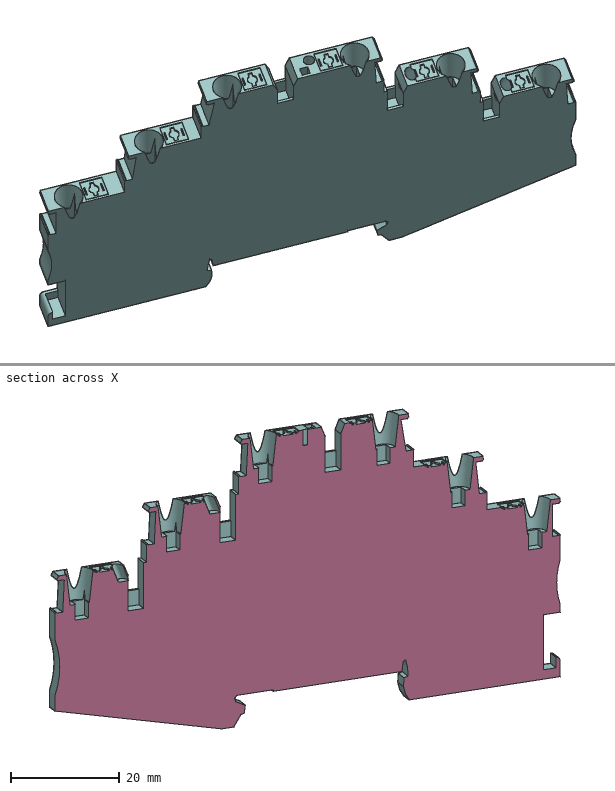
import cadquery as cq

THICKNESS = 5.1
LENGTH = 102.2
HEIGHT = 56.4
END = LENGTH / 2
OUTER_FACE = -THICKNESS / 2

TIER_RISE = 10.6
DECKS = [HEIGHT - 2 * TIER_RISE, HEIGHT - TIER_RISE, HEIGHT]
BACK_LIPS = [50.8, 32.3, 13.7]
BACK_SHELVES = [END, 32.6, 14.0]
FRONT_LIPS = [END, 35.6, 20.4]
FRONT_SHELVES = [END, 36.3, 21.5]

LIP_HEIGHT = 1.0
BACK_LIP_SLOPE = 0.4
FRONT_LIP_SLOPE = 0.1
LIP_HOOK = 0.3
NECK_INSET = 1.5
SHELF_DROP = 7.3
SHELF_RIM = 0.2

SLOT_WIDTH = 3.1
SLOT_DEPTH = 5.9
SLOT_STEP = 0.6
LEAD_IN_WIDTH = 0.8
LEAD_IN_DEPTH = 1.9
TOP_SLOT_Y = -5.1
SLOT_POCKET_WIDTH = 4.1
SLOT_POCKET_DEPTH = 3.1

BACK_HOLLOW = (11.9, 22.5, 0.9)
FRONT_HOLLOW = (14.2, 23.1, 0.7)

RAIL_SEAT = 5.8
RAIL_RELIEF = 6.1
BACK_CORNER = 8.6
HOOK_ROOT = 13.5
MARKER_NOTCH_DEPTH = 3.4
MARKER_NOTCH_BOTTOM = 4.0
MARKER_NOTCH_TOP = 12.7
MARKER_LIP = 0.9
MARKER_PIT_RIM = 0.6
MARKER_PIT_DEPTH = 2.0

SETBACK = 0.5
HOOK_TIP_STEP = (12.3, HOOK_ROOT, 2.0, 4.4)
SLIT_STEP = (-19.6, -18.7, 7.6, 9.2)

FUNNEL_INSET = 4.7
FUNNEL_X = 0.36
FUNNEL_TOP_RADIUS = 2.7
FUNNEL_BOTTOM_RADIUS = 1.9
FUNNEL_DEPTH = 6.1
WIRE_POCKET_X = 0.15
WIRE_POCKET_SHIFT = 0.4
WIRE_POCKET_SIZE = (3.1, 2.6)
WIRE_POCKET_DEPTH = 9.2

BUTTON_INSET = 9.7
BUTTON_SIZE = (4.1, 4.3)
BUTTON_DEPTH = 0.2
BLADE_SLOT_SIZE = (3.1, 0.7)
BLADE_CENTRE_RADIUS = 0.9
BLADE_DEPTH = 0.5
GROOVE_SIZE = (1.6, 0.2)
GROOVE_OFFSET = 1.6

OVAL_INSET = 12.4
OVAL_RADII = (1.5, 1.0)
OVAL_LEAN = 1.2
TEST_HOLE_AT = (-0.9, 0.5)
TEST_HOLE_RADIUS = 1.0
TEST_SQUARE_AT = (1.2, -0.9)
TEST_SQUARE_SIZE = 1.5
TEST_DEPTH = 3.1


def tier_edge(lip, lip_slope, shelf, deck):
    """Outline from the shelf up to the deck, as (distance from middle, height)."""
    shelf_z = deck - SHELF_DROP
    lip_z = deck - LIP_HEIGHT
    return [
        (shelf, shelf_z),
        (shelf - SHELF_RIM, shelf_z + SHELF_RIM),
        (shelf - 2 * SHELF_RIM, shelf_z),
        (shelf - NECK_INSET, shelf_z),
        (lip - NECK_INSET, lip_z),
        (lip - LIP_HOOK, lip_z),
        (lip, lip_z + LIP_HOOK),
        (lip - lip_slope, deck),
    ]


def slot_side(y, outward, deck):
    """Sloped lead-in and side wall of a slot, from the deck down to the slot floor."""
    return [
        (y + outward * LEAD_IN_WIDTH, deck),
        (y, deck - LEAD_IN_DEPTH),
        (y, deck - SLOT_DEPTH),
    ]


def back_slot_wall(tier):
    """Y of the slot wall that stands below the shelf of the next tier."""
    return BACK_SHELVES[tier + 1] + SLOT_STEP


def back_steps():
    points = []
    for tier, deck in enumerate(DECKS):
        points += tier_edge(BACK_LIPS[tier], BACK_LIP_SLOPE, BACK_SHELVES[tier], deck)
        if deck < HEIGHT:
            wall = back_slot_wall(tier)
            points += slot_side(wall + SLOT_WIDTH, 1, deck)
            points += [(wall, deck - SLOT_DEPTH), (wall, deck), (BACK_SHELVES[tier + 1], deck)]
    return points


def top_slot():
    return (
        slot_side(TOP_SLOT_Y + SLOT_WIDTH / 2, 1, HEIGHT)
        + slot_side(TOP_SLOT_Y - SLOT_WIDTH / 2, -1, HEIGHT)[::-1]
    )


def front_steps():
    points = []
    for tier in (2, 1, 0):
        edge = tier_edge(FRONT_LIPS[tier], FRONT_LIP_SLOPE, FRONT_SHELVES[tier], DECKS[tier])
        points += [(-y, z) for y, z in reversed(edge)]
        if tier > 0:
            points.append((-FRONT_SHELVES[tier], DECKS[tier - 1]))
    return points


def front_foot():
    """Marker notch in the front end, the front foot and the slit beside it."""
    notch_y = MARKER_NOTCH_DEPTH - END
    return [
        (-END, MARKER_NOTCH_TOP),
        (notch_y, MARKER_NOTCH_TOP),
        (notch_y, MARKER_NOTCH_BOTTOM),
        (-END, MARKER_NOTCH_BOTTOM),
        (-END, 0),
        (-20.5, 0),
        (-19.7, 1.3),
        (-19.3, 2.9),
        (-19.4, 4.6),
        (-20.2, 4.8),
        (-20.1, 6.5),
        (-19.7, 8.1),
        (-19.3, 7.7),
        (-19.1, RAIL_SEAT),
    ]


def back_foot():
    """Rail seat and the hooked back foot."""
    return [
        (7.0, RAIL_SEAT),
        (7.0, RAIL_RELIEF),
        (14.3, RAIL_RELIEF),
        (14.7, 5.6),
        (14.5, 5.0),
        (12.6, 4.0),
        (12.8, 2.5),
        (HOOK_ROOT, 2.2),
        (14.9, 0),
        (17.4, 0),
    ]


def body():
    back_low, back_high, back_depth = BACK_HOLLOW
    front_low, front_high, front_depth = FRONT_HOLLOW
    outline = (
        cq.Workplane("YZ", origin=(OUTER_FACE, 0, 0))
        .moveTo(END, BACK_CORNER)
        .lineTo(END, back_low)
        .threePointArc((END - back_depth, (back_low + back_high) / 2), (END, back_high))
    )
    for y, z in back_steps() + top_slot() + front_steps():
        outline = outline.lineTo(y, z)
    outline = outline.lineTo(-END, front_high).threePointArc(
        (front_depth - END, (front_low + front_high) / 2), (-END, front_low)
    )
    for y, z in front_foot() + back_foot():
        outline = outline.lineTo(y, z)
    plate = outline.close().extrude(THICKNESS)
    marker_edge = cq.NearestToPointSelector((0, -END, MARKER_NOTCH_BOTTOM))
    return plate.edges(marker_edge).fillet(MARKER_LIP)


def marker_pit():
    """Pit in the floor of the marker notch, behind its rounded lip and open on the +X side."""
    length = MARKER_NOTCH_DEPTH - MARKER_LIP
    corner = (OUTER_FACE + MARKER_PIT_RIM, MARKER_LIP - END, MARKER_NOTCH_BOTTOM - MARKER_PIT_DEPTH)
    block = cq.Workplane("XY").box(THICKNESS, length, MARKER_PIT_DEPTH, centered=False)
    return block.translate(corner)


def side_recess(y_min, y_max, z_min, z_max):
    """Shallow step cut into the -X face."""
    block = cq.Workplane("XY").box(SETBACK, y_max - y_min, z_max - z_min, centered=False)
    return block.translate((OUTER_FACE, y_min, z_min))


def at_deck(x, y, z):
    return cq.Workplane("XY", origin=(x, y, z))


def wire_funnel(y, outward, deck):
    cone = cq.Workplane(
        cq.Solid.makeCone(
            FUNNEL_TOP_RADIUS,
            FUNNEL_BOTTOM_RADIUS,
            FUNNEL_DEPTH,
            pnt=cq.Vector(FUNNEL_X, y, deck),
            dir=cq.Vector(0, 0, -1),
        )
    )
    pocket_y = y - outward * WIRE_POCKET_SHIFT
    pocket = at_deck(WIRE_POCKET_X, pocket_y, deck).rect(*WIRE_POCKET_SIZE).extrude(-WIRE_POCKET_DEPTH)
    return cone.union(pocket)


def push_button(y, deck):
    panel = at_deck(0, y, deck).rect(*BUTTON_SIZE).extrude(-BUTTON_DEPTH)
    blade_slot = at_deck(0, y, deck).rect(*BLADE_SLOT_SIZE).extrude(-BLADE_DEPTH)
    centre = at_deck(0, y, deck).circle(BLADE_CENTRE_RADIUS).extrude(-BLADE_DEPTH)
    grooves = (
        at_deck(0, y, deck)
        .pushPoints([(0, GROOVE_OFFSET), (0, -GROOVE_OFFSET)])
        .rect(*GROOVE_SIZE)
        .extrude(-BLADE_DEPTH)
    )
    return panel.union(blade_slot).union(centre).union(grooves)


def leaning_oval(y, deck):
    """Oval opening that leans toward -Y as it goes down."""
    path = cq.Workplane("YZ", origin=(0, y, deck)).lineTo(-OVAL_LEAN, -TEST_DEPTH)
    return at_deck(0, y, deck).ellipse(*OVAL_RADII).sweep(path)


def slot_pocket(y, deck):
    floor = deck - SLOT_DEPTH
    return at_deck(0, y, floor).rect(SLOT_POCKET_WIDTH, SLOT_WIDTH).extrude(-SLOT_POCKET_DEPTH)


result = body()

for outward, lips in ((1, BACK_LIPS), (-1, FRONT_LIPS)):
    for lip, deck in zip(lips, DECKS):
        result = result.cut(wire_funnel(outward * (lip - FUNNEL_INSET), outward, deck))
        result = result.cut(push_button(outward * (lip - BUTTON_INSET), deck))

for tier in (0, 1):
    deck = DECKS[tier]
    result = result.cut(leaning_oval(BACK_LIPS[tier] - OVAL_INSET, deck))
    result = result.cut(slot_pocket(back_slot_wall(tier) + SLOT_WIDTH / 2, deck))
result = result.cut(slot_pocket(TOP_SLOT_Y, HEIGHT))

round_hole = at_deck(*TEST_HOLE_AT, HEIGHT).circle(TEST_HOLE_RADIUS).extrude(-TEST_DEPTH)
square_hole = at_deck(*TEST_SQUARE_AT, HEIGHT).rect(TEST_SQUARE_SIZE, TEST_SQUARE_SIZE).extrude(-TEST_DEPTH)
result = result.cut(round_hole).cut(square_hole)

result = result.cut(marker_pit())
for step in (HOOK_TIP_STEP, SLIT_STEP):
    result = result.cut(side_recess(*step))